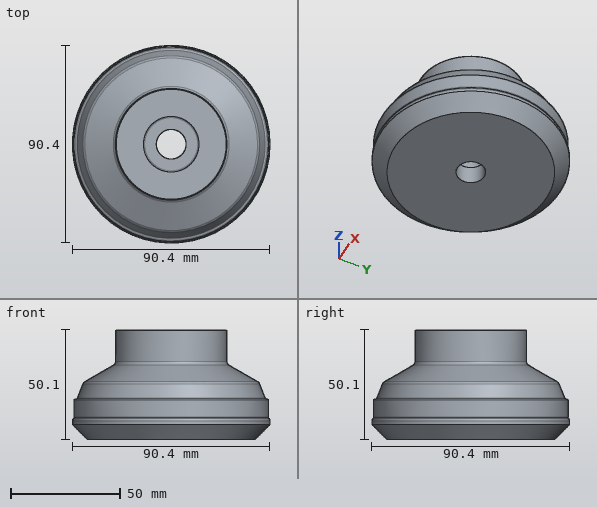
import cadquery as cq

total_height = 50.1
through_hole_diameter = 13.5

base_height = 9.85
base_bottom_radius = 38.3
rim_radius = 45.2
rim_bottom_z = 6.9
rim_top_z = 8.5
base_top_radius = 44.4

wall_radius = 89.1 / 2
wall_bottom_round = 0.45
shoulder_z = 18.4
shoulder_round = 0.6
cone_foot_radius = 43.2
cone_foot_round = 1.0
break_radius = 40.1
break_z = 26.1
break_round = 2.3
neck_radius = 51.0 / 2
neck_bottom_z = 34.5
neck_round = 2.0
neck_top_chamfer = 0.4

bore_diameter = 25.4
bore_depth = 16.9
bore_floor_round = 0.5

tolerance = 0.01


def round_circle(body, radius, z, round_radius):
    """Fillet the circular edge of the given radius at height z."""
    edge = body.edges("%CIRCLE").filter(
        lambda e: abs(e.radius() - radius) < tolerance and abs(e.Center().z - z) < tolerance
    )
    return edge.fillet(round_radius)


def through_hole():
    return cq.Workplane("XY").circle(through_hole_diameter / 2).extrude(total_height)


def make_base():
    profile = (
        cq.Workplane("XZ")
        .lineTo(base_bottom_radius, 0)
        .lineTo(rim_radius, rim_bottom_z)
        .lineTo(rim_radius, rim_top_z)
        .tangentArcPoint((base_top_radius, base_height), relative=False)
        .lineTo(0, base_height)
        .close()
    )
    return profile.revolve(360, (0, 0, 0), (0, 1, 0)).cut(through_hole())


def make_housing():
    profile = (
        cq.Workplane("XZ")
        .moveTo(0, base_height)
        .lineTo(wall_radius, base_height)
        .lineTo(wall_radius, shoulder_z)
        .lineTo(cone_foot_radius, shoulder_z)
        .lineTo(break_radius, break_z)
        .lineTo(neck_radius, neck_bottom_z)
        .lineTo(neck_radius, total_height)
        .lineTo(0, total_height)
        .close()
    )
    housing = profile.revolve(360, (0, 0, 0), (0, 1, 0))

    housing = housing.faces(">Z").chamfer(neck_top_chamfer)
    housing = round_circle(housing, wall_radius, base_height, wall_bottom_round)
    housing = round_circle(housing, wall_radius, shoulder_z, shoulder_round)
    housing = round_circle(housing, cone_foot_radius, shoulder_z, cone_foot_round)
    housing = round_circle(housing, break_radius, break_z, break_round)
    housing = round_circle(housing, neck_radius, neck_bottom_z, neck_round)

    bore = (
        cq.Workplane("XY", origin=(0, 0, total_height - bore_depth))
        .circle(bore_diameter / 2)
        .extrude(bore_depth)
        .faces("<Z")
        .edges()
        .fillet(bore_floor_round)
    )
    return housing.cut(bore).cut(through_hole())


base = make_base()
housing = make_housing()

result = cq.Compound.makeCompound([base.val(), housing.val()])